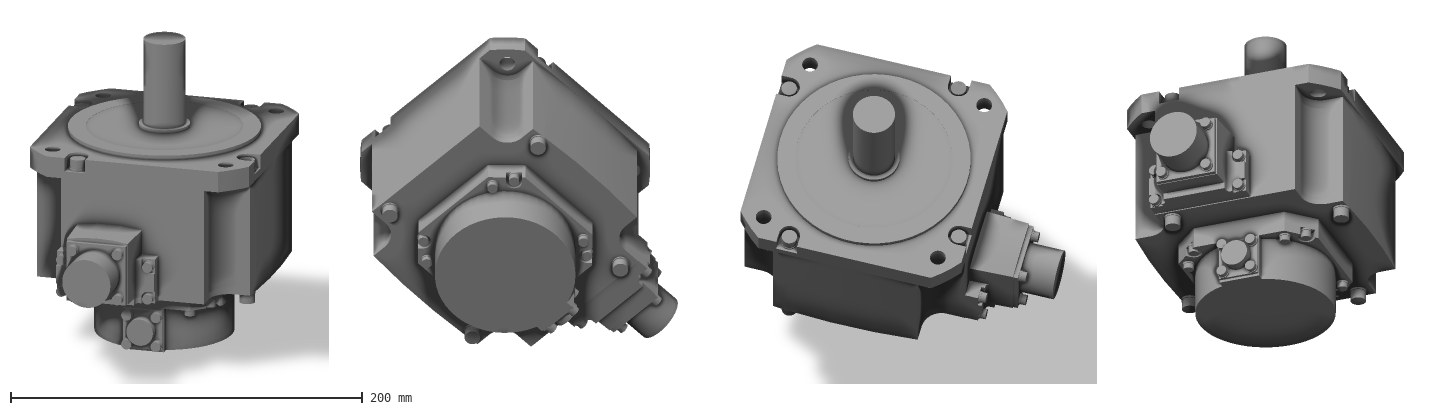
import cadquery as cq
import math


overall_height = 173.5
overall_depth = 177.5

shaft_dia = 24.0
shaft_top = 55.0
collar_dia = 29.3
collar_top = 4.7
pilot_dia = 110.0
pilot_height = 2.7
pilot_recess_dia = 89.5
pilot_recess_depth = 0.15

frame_size = 130.0
half_frame = frame_size / 2
flange_thickness = 12.2
flange_corner_dia = 165.0
mount_bolt_circle = 145.0
mount_hole_dia = 9.0
body_bottom = -80.0
side_bulge = 1.9
rear_size = 85.0
half_rear = rear_size / 2
corner_radius = 11.6
upper_corner_radius = 10.7
upper_corner_bottom = -17.6

rear_bottom = -92.4
rear_chamfer = 15.0
encoder_dia = 80.0
encoder_bottom = shaft_top - overall_height

frame_screw_dia = 8.8
frame_washer_dia = 9.6
frame_head_height = 5.5
small_screw_dia = 5.9
small_washer_dia = 6.5
small_head_height = 3.0
notch_head_height = 4.0
washer_thickness = 1.1

frame_screw_xy = (59.0, -34.1)
frame_pocket_width = 12.2
frame_pocket_depth = 8.0
cover_screw_xy = (37.0, 25.8)
notch_screw_xy = (36.0, -30.0)
notch_width = 9.2
notch_floor = -87.5
notch_direction = -45

encoder_boss_width = 24.0
encoder_plate_width = 23.4
encoder_plate_thickness = 1.6
encoder_plug_dia = 15.7
encoder_plug_z = -105.3
encoder_plug_tip = -50.6
encoder_screw_pitch = 17.3

connector_x = -13.5
foot_width = 2 * (half_rear + connector_x)
foot_top = -53.3
foot_bottom = -79.5
foot_front = -74.6
foot_fillet = 2.0
foot_screw_pitch = 51.0
foot_screw_rows = (-57.4, -76.3)
foot_pocket_radius = 4.0
foot_pocket_floor = -72.5
hood_root_width = 38.3
hood_tip_width = 36.0
hood_root_top = -38.9
hood_tip_top = -39.5
hood_crown = 1.7
hood_bottom = -75.8
hood_front = -90.2
skirt_front = -79.4
power_plate_size = 35.0
power_plate_front = -92.9
power_plug_dia = 28.5
power_plug_z = -58.0
power_plug_tip = half_frame - overall_depth
power_screw_pitch = 26.9

QUARTER_TURNS = (0, 90, 180, 270)
DOWN = (0, 0, -1)
UP = (0, 0, 1)
FORWARD = (0, -1, 0)


def disc(origin, direction, diameter, height):
    """Cylinder standing on origin and rising along direction."""
    return cq.Workplane(cq.Solid.makeCylinder(diameter / 2, height, cq.Vector(origin), cq.Vector(direction)))


def screw(seat, direction, head_dia, washer_dia, head_height):
    """Screw head on a washer, seated on a face and pointing along direction."""
    washer_and_head = washer_thickness + head_height
    washer = disc(seat, direction, washer_dia, washer_thickness)
    return washer.union(disc(seat, direction, head_dia, washer_and_head))


def small_screw(seat, direction, head_height=small_head_height):
    return screw(seat, direction, small_screw_dia, small_washer_dia, head_height)


def square_of_screws(x, y, z, pitch):
    """Four small screws facing -Y at the corners of a square."""
    screws = cq.Workplane()
    for side in (-1, 1):
        for level in (-1, 1):
            screws = screws.add(small_screw((x + side * pitch / 2, y, z + level * pitch / 2), FORWARD))
    return screws.combine()


def frame_screw(seat, direction):
    return screw(seat, direction, frame_screw_dia, frame_washer_dia, frame_head_height)


def block(x_range, y_range, z_range):
    """Box between two limits on each axis."""
    (x0, x1), (y0, y1), (z0, z1) = x_range, y_range, z_range
    return cq.Workplane().box(x1 - x0, y1 - y0, z1 - z0, centered=False).translate((x0, y0, z0))


def around_axis(shape):
    """Four copies of a shape, a quarter turn apart about Z."""
    copies = cq.Workplane()
    for angle in QUARTER_TURNS:
        copies = copies.add(shape.rotate((0, 0, 0), (0, 0, 1), angle))
    return copies.combine()


def u_pocket(width, depth, reach):
    """Round-ended slot centred on the origin, open towards +X, rising from Z = 0."""
    round_end = cq.Workplane().circle(width / 2).extrude(depth)
    return round_end.union(block((0, reach), (-width / 2, width / 2), (0, depth)))


def make_flange():
    flange = cq.Workplane().rect(frame_size, frame_size).extrude(-flange_thickness)
    flange = flange.intersect(disc((0, 0, 0), DOWN, flange_corner_dia, flange_thickness))
    hole_pitch = mount_bolt_circle / math.sqrt(2)
    holes = cq.Workplane().rect(hole_pitch, hole_pitch, forConstruction=True).vertices()
    return flange.cut(holes.circle(mount_hole_dia / 2).extrude(-flange_thickness))


def corner_cut(radius, top, bottom):
    """Square corner relief with a rounded inner edge."""
    span = (half_rear, 2 * half_frame)
    cut = block(span, span, (bottom, top))
    return cut.edges("|Z and <X and <Y").fillet(radius)


def make_body():
    side_edge = half_frame - side_bulge
    body = (
        cq.Workplane()
        .moveTo(-half_rear, -half_frame)
        .lineTo(half_rear, -half_frame)
        .lineTo(side_edge, -half_rear)
        .threePointArc((half_frame, 0), (side_edge, half_rear))
        .lineTo(half_rear, half_frame)
        .lineTo(-half_rear, half_frame)
        .lineTo(-side_edge, half_rear)
        .threePointArc((-half_frame, 0), (-side_edge, -half_rear))
        .close()
        .extrude(body_bottom + flange_thickness)
        .translate((0, 0, -flange_thickness))
    )
    upper_cut = corner_cut(upper_corner_radius, -flange_thickness, upper_corner_bottom)
    lower_cut = corner_cut(corner_radius, upper_corner_bottom, body_bottom)
    return body.cut(around_axis(upper_cut)).cut(around_axis(lower_cut))


def cut_frame_pockets(frame):
    x, y = frame_screw_xy
    pocket = u_pocket(frame_pocket_width, frame_pocket_depth, half_frame)
    return frame.cut(around_axis(pocket.translate((x, y, -frame_pocket_depth))))


def make_frame_screws():
    upper = frame_screw(frame_screw_xy + (-frame_pocket_depth,), UP)
    lower = frame_screw(frame_screw_xy + (body_bottom,), DOWN)
    return around_axis(upper).union(around_axis(lower))


def make_shaft():
    shaft = disc((0, 0, 0), UP, shaft_dia, shaft_top)
    collar = disc((0, 0, 0), UP, collar_dia, collar_top)
    pilot = disc((0, 0, 0), UP, pilot_dia, pilot_height)
    recess = disc((0, 0, pilot_height), DOWN, pilot_recess_dia, pilot_recess_depth)
    return pilot.cut(recess).union(collar).union(shaft)


def make_rear_plate():
    plate = cq.Workplane().rect(rear_size, rear_size).extrude(rear_bottom - body_bottom)
    plate = plate.edges("|Z").chamfer(rear_chamfer).translate((0, 0, body_bottom))
    x, y = notch_screw_xy
    notch = u_pocket(notch_width, notch_floor - rear_bottom, half_rear)
    notch = notch.rotate((0, 0, 0), (0, 0, 1), notch_direction).translate((x, y, rear_bottom))
    plate = plate.cut(around_axis(notch))
    notch_screw = small_screw((x, y, notch_floor), DOWN, notch_head_height)
    cover_screw = small_screw(cover_screw_xy + (rear_bottom,), DOWN)
    return plate.union(around_axis(notch_screw)).union(around_axis(cover_screw))


def make_encoder():
    height = rear_bottom - encoder_bottom
    half_boss = encoder_boss_width / 2
    half_plate = encoder_plate_width / 2
    housing = disc((0, 0, rear_bottom), DOWN, encoder_dia, height)
    housing = housing.union(block((-half_boss, half_boss), (-half_rear, 0), (encoder_bottom, rear_bottom)))
    plate_front = -half_rear - encoder_plate_thickness
    plate_z = (encoder_plug_z - half_plate, encoder_plug_z + half_plate)
    housing = housing.union(block((-half_plate, half_plate), (plate_front, -half_rear), plate_z))
    plug = disc((0, plate_front, encoder_plug_z), FORWARD, encoder_plug_dia, plate_front - encoder_plug_tip)
    housing = housing.union(plug)
    return housing.union(square_of_screws(0, plate_front, encoder_plug_z, encoder_screw_pitch))


def hood_half_width(y):
    """Half width of the hood, which narrows evenly from the body to its front face."""
    share = (y + half_frame) / (hood_front + half_frame)
    return (hood_root_width + share * (hood_tip_width - hood_root_width)) / 2


def hood_section(y, width, top):
    """Closed hood outline at one depth: flat bottom and sides with a crowned top."""
    half = width / 2
    plane = cq.Plane(origin=(connector_x, y, 0), xDir=(1, 0, 0), normal=FORWARD)
    return (
        cq.Workplane(plane)
        .moveTo(-half, hood_bottom)
        .lineTo(half, hood_bottom)
        .lineTo(half, top)
        .threePointArc((0, top + hood_crown), (-half, top))
        .close()
        .val()
    )


def make_hood():
    root = hood_section(-half_frame, hood_root_width, hood_root_top)
    tip = hood_section(hood_front, hood_tip_width, hood_tip_top)
    return cq.Workplane(cq.Solid.makeLoft([root, tip], True))


def make_foot():
    """Screw-down foot of the power connector with its four screws in open-sided pockets."""
    half_foot = foot_width / 2
    half_root = hood_root_width / 2
    half_skirt = hood_half_width(skirt_front)
    half_step = hood_half_width(foot_front)
    levels = (foot_bottom, foot_top)
    foot = block((-half_foot, half_foot), (foot_front, -half_frame), levels)
    skirt = (
        cq.Workplane()
        .moveTo(-half_root, -half_frame)
        .lineTo(half_root, -half_frame)
        .lineTo(half_skirt, skirt_front)
        .lineTo(-half_skirt, skirt_front)
        .close()
        .extrude(foot_top - foot_bottom)
    )
    foot = foot.union(skirt.translate((0, 0, foot_bottom)))
    margin = foot_fillet / 2
    inner_corners = cq.selectors.BoxSelector(
        (-half_step - margin, foot_front - margin, foot_bottom),
        (half_step + margin, foot_front + margin, foot_top),
    )
    foot = foot.edges("|Z").edges(inner_corners).fillet(foot_fillet)

    screws = cq.Workplane()
    pocket_depth = foot_pocket_floor - foot_front + foot_fillet
    for side in (-1, 1):
        for z, open_end in zip(foot_screw_rows, (foot_top, foot_bottom)):
            x = side * foot_screw_pitch / 2
            seat = (x, foot_pocket_floor, z)
            y_range = (foot_pocket_floor - pocket_depth, foot_pocket_floor)
            inner_x = x - side * foot_pocket_radius
            inner_z = z + math.copysign(foot_pocket_radius, z - open_end)
            outer_x = side * half_foot
            pocket = block(sorted((inner_x, outer_x)), y_range, sorted((inner_z, open_end)))
            keep_corner = block(sorted((inner_x, x)), y_range, sorted((inner_z, z)))
            round_corner = disc(seat, FORWARD, 2 * foot_pocket_radius, pocket_depth)
            foot = foot.cut(pocket.cut(keep_corner).union(round_corner))
            screws = screws.add(small_screw(seat, FORWARD))
    return foot.union(screws.combine()).translate((connector_x, 0, 0))


def make_power_connector():
    half_plate = power_plate_size / 2
    plate = block(
        (connector_x - half_plate, connector_x + half_plate),
        (power_plate_front, hood_front),
        (power_plug_z - half_plate, power_plug_z + half_plate),
    )
    plug_length = power_plate_front - power_plug_tip
    plug = disc((connector_x, power_plate_front, power_plug_z), FORWARD, power_plug_dia, plug_length)
    screws = square_of_screws(connector_x, power_plate_front, power_plug_z, power_screw_pitch)
    return make_foot().union(make_hood()).union(plate).union(plug).union(screws)


frame = cut_frame_pockets(make_flange().union(make_body()))
frame = frame.union(make_frame_screws()).union(make_shaft())
rear = make_rear_plate().union(make_encoder())
result = frame.union(rear).union(make_power_connector())